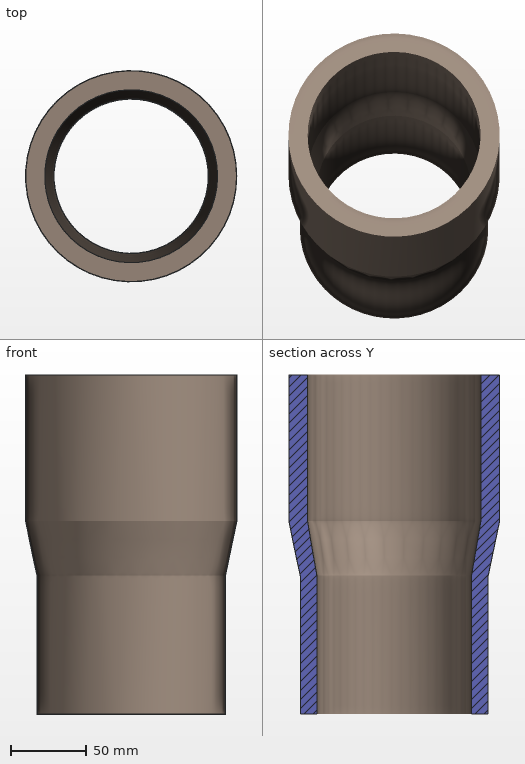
import cadquery as cq

TOTAL_HEIGHT = 225.0
LOWER_LENGTH = 92.0
TAPER_LENGTH = 36.0

UPPER_OUTER_DIAMETER = 140.0
UPPER_WALL = 12.7
LOWER_OUTER_DIAMETER = 125.0
LOWER_WALL = 11.4

upper_outer_radius = UPPER_OUTER_DIAMETER / 2
upper_inner_radius = upper_outer_radius - UPPER_WALL
lower_outer_radius = LOWER_OUTER_DIAMETER / 2
lower_inner_radius = lower_outer_radius - LOWER_WALL
taper_bottom = LOWER_LENGTH
taper_top = LOWER_LENGTH + TAPER_LENGTH


def revolved_body(lower_radius, upper_radius):
    """Solid of two coaxial cylinders joined by a cone, standing on Z = 0."""
    profile = (
        cq.Workplane("XZ")
        .lineTo(lower_radius, 0)
        .lineTo(lower_radius, taper_bottom)
        .lineTo(upper_radius, taper_top)
        .lineTo(upper_radius, TOTAL_HEIGHT)
        .lineTo(0, TOTAL_HEIGHT)
        .close()
    )
    return profile.revolve(360, (0, 0, 0), (0, 1, 0))


outer_body = revolved_body(lower_outer_radius, upper_outer_radius)
bore = revolved_body(lower_inner_radius, upper_inner_radius)

result = outer_body.cut(bore)